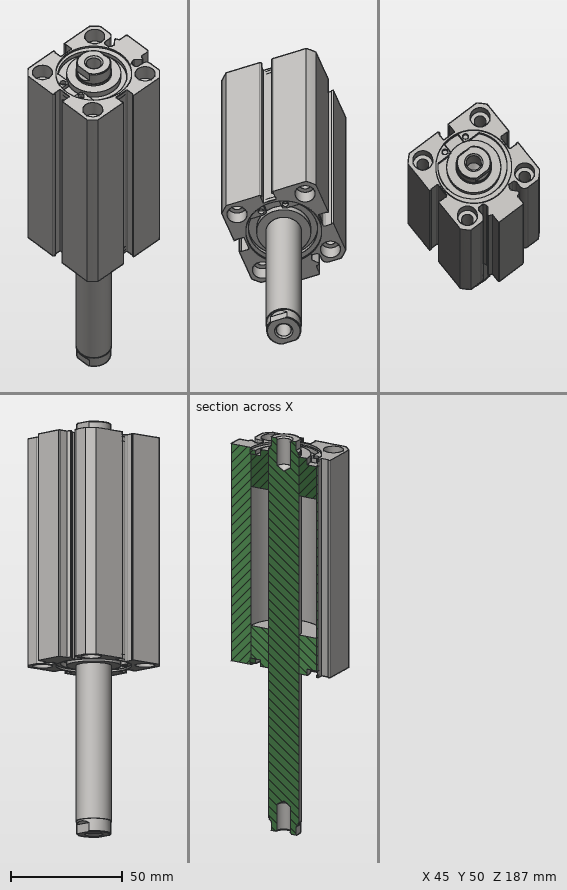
import cadquery as cq
import math

EDGE_TOLERANCE = 0.02

ROD_LENGTH = 187.0

HOUSING_WIDTH = 45.0
HOUSING_HALF_WIDTH = HOUSING_WIDTH / 2
OVERALL_DEPTH = 50.0
HOUSING_LENGTH = 103.2
ROD_STICK_OUT = 7.0
CORNER_TURN_RADIUS = 29.5
HOUSING_TOP = ROD_LENGTH - ROD_STICK_OUT
HOUSING_BOTTOM = HOUSING_TOP - HOUSING_LENGTH
HOUSING_MIDDLE = (HOUSING_TOP + HOUSING_BOTTOM) / 2

CHANNEL_HALF_WIDTH = 10.7
CHANNEL_FLOOR = 16.3
CHANNEL_LIP_RADIUS = 2.6
CHANNEL_FLOOR_RADIUS = 1.3
RAIL_TOP = OVERALL_DEPTH - HOUSING_HALF_WIDTH
RAIL_HALF_WIDTH = 7.1
RAIL_CHAMFER = 0.4
RAIL_BARB_HALF_WIDTH = 8.8
RAIL_SHOULDER = 22.8
RAIL_BARB_TOP = 22.0
RAIL_BARB_BOTTOM = 21.5
RAIL_NECK_HALF_WIDTH = 6.5
RAIL_NECK_TOP = 18.9
RAIL_NECK_BOTTOM = 17.8
RAIL_FOOT_HALF_WIDTH = 7.3

SIDE_SLOT_FLOOR = 17.8
SIDE_SLOT_MOUTH = 6.4
SIDE_SLOT_WIDTH = 7.0
SIDE_SLOT_FLOOR_RADIUS = 0.5
FRONT_SLOT_FLOOR = 18.0
FRONT_SLOT_MOUTH = 4.9
FRONT_SLOT_WIDTH = 6.2
SLOT_LIP = 1.0
FRONT_SLOT_MOUTH_RADIUS = 0.7

MOUNT_OFFSET = 16.3
MOUNT_HOLE_RADIUS = 2.6
MOUNT_BORE_RADIUS = 4.5
MOUNT_BORE_DEPTH = 7.5

BORE_RADIUS = 17.0
GROOVE_RADIUS = 17.5
RING_RECESS = 1.0
RING_THICKNESS = 2.0
RING_INNER_RADIUS = 15.5
RING_INNER_SHIFT = 1.0
RING_GAP = 7.7
EAR_EDGE = 11.2
EAR_INNER_RADIUS = 12.5
EAR_HOLE_RADIUS = 1.3
EAR_HOLE_X = 5.8
EAR_HOLE_Y = -13.5
COLLAR_BOSS_RADIUS = 12.2
COLLAR_LENGTH = 18.7

ROD_RADIUS = 8.0
ROD_END_RADIUS = 7.7
ROD_END_LENGTH = 6.0
ROD_END_CHAMFER = 0.4
FLAT_HALF_WIDTH = 6.5
FLAT_LENGTH = 4.1
ROD_HOLE_RADIUS = 3.4
ROD_HOLE_MOUTH_RADIUS = 4.1
ROD_HOLE_DEPTH = 13.0
DRILL_TIP_ANGLE = 118.0


def at_both_ends(solid):
    """The solid and its mirror image in the housing's middle plane."""
    return [solid, solid.mirror("XY", (0, 0, HOUSING_MIDDLE))]


def cylinder(radius, bottom, top):
    return cq.Workplane("XY").workplane(offset=bottom).circle(radius).extrude(top - bottom)


def housing_prism(points):
    """A full-length prism of the housing with the given corner points."""
    return cq.Workplane("XY", origin=(0, 0, HOUSING_BOTTOM)).polyline(points).close().extrude(HOUSING_LENGTH)


def mirrored_outline(points):
    """A closed outline from its +X half, mirrored to -X."""
    return points + [(-x, y) for x, y in reversed(points)]


def rail():
    return housing_prism(mirrored_outline([
        (RAIL_FOOT_HALF_WIDTH, CHANNEL_FLOOR),
        (RAIL_NECK_HALF_WIDTH, RAIL_NECK_BOTTOM),
        (RAIL_NECK_HALF_WIDTH, RAIL_NECK_TOP),
        (RAIL_BARB_HALF_WIDTH, RAIL_BARB_BOTTOM),
        (RAIL_BARB_HALF_WIDTH, RAIL_BARB_TOP),
        (RAIL_HALF_WIDTH, RAIL_SHOULDER),
        (RAIL_HALF_WIDTH, RAIL_TOP - RAIL_CHAMFER),
        (RAIL_HALF_WIDTH - RAIL_CHAMFER, RAIL_TOP),
    ]))


def slot(mouth, width, floor):
    """A -Y slot with square lips at its mouth."""
    lip_bottom = HOUSING_HALF_WIDTH - SLOT_LIP
    return housing_prism(mirrored_outline([
        (mouth / 2, -HOUSING_HALF_WIDTH),
        (mouth / 2, -lip_bottom),
        (width / 2, -lip_bottom),
        (width / 2, -floor),
    ]))


def round_edges_near(block, x, y, distance, radius):
    """Fillets the vertical edges whose distance from (x, y) is the given one."""
    def at_distance(edge):
        middle = edge.Center()
        return math.isclose(math.hypot(middle.x - x, middle.y - y), distance, abs_tol=EDGE_TOLERANCE)

    return block.newObject([edge for edge in block.edges("|Z").vals() if at_distance(edge)]).fillet(radius)


def mount_hole_cutter(x, y):
    cutter = cylinder(MOUNT_HOLE_RADIUS, HOUSING_BOTTOM, HOUSING_TOP)
    counterbore = cylinder(MOUNT_BORE_RADIUS, HOUSING_TOP - MOUNT_BORE_DEPTH, HOUSING_TOP)
    for end_bore in at_both_ends(counterbore):
        cutter = cutter.union(end_bore)
    return cutter.translate((x, y, 0))


def ring_groove():
    ring_top = HOUSING_TOP - RING_RECESS
    return cylinder(GROOVE_RADIUS, ring_top - RING_THICKNESS, ring_top)


def make_housing():
    block = (
        cq.Workplane("XY", origin=(0, 0, HOUSING_BOTTOM))
        .rect(HOUSING_WIDTH, HOUSING_WIDTH)
        .extrude(HOUSING_LENGTH)
        .intersect(cylinder(CORNER_TURN_RADIUS, HOUSING_BOTTOM, HOUSING_TOP))
    )
    channel = housing_prism(mirrored_outline([
        (CHANNEL_HALF_WIDTH, CHANNEL_FLOOR),
        (CHANNEL_HALF_WIDTH, HOUSING_HALF_WIDTH),
    ])).edges("|Z and <Y").fillet(CHANNEL_FLOOR_RADIUS)
    block = block.cut(channel)
    block = round_edges_near(block, 0, HOUSING_HALF_WIDTH, CHANNEL_HALF_WIDTH, CHANNEL_LIP_RADIUS)
    block = block.union(rail())

    side_slot = slot(SIDE_SLOT_MOUTH, SIDE_SLOT_WIDTH, SIDE_SLOT_FLOOR)
    side_slot = side_slot.edges("|Z and >Y").fillet(SIDE_SLOT_FLOOR_RADIUS)
    for turn in (-90, 90):
        block = block.cut(side_slot.rotate((0, 0, 0), (0, 0, 1), turn))
    block = block.cut(slot(FRONT_SLOT_MOUTH, FRONT_SLOT_WIDTH, FRONT_SLOT_FLOOR))
    block = round_edges_near(block, 0, -HOUSING_HALF_WIDTH, FRONT_SLOT_MOUTH / 2, FRONT_SLOT_MOUTH_RADIUS)

    for x in (-MOUNT_OFFSET, MOUNT_OFFSET):
        for y in (-MOUNT_OFFSET, MOUNT_OFFSET):
            block = block.cut(mount_hole_cutter(x, y))

    block = block.cut(cylinder(BORE_RADIUS, HOUSING_BOTTOM, HOUSING_TOP))
    for groove in at_both_ends(ring_groove()):
        block = block.cut(groove)
    return block


def make_collar():
    """The upper rod guide: a plug in the bore with a boss that passes through the retaining ring."""
    bottom = HOUSING_TOP - COLLAR_LENGTH
    plug = cylinder(BORE_RADIUS, bottom, HOUSING_TOP - RING_RECESS - RING_THICKNESS)
    boss = cylinder(COLLAR_BOSS_RADIUS, bottom, HOUSING_TOP)
    return plug.union(boss).cut(cylinder(ROD_RADIUS, bottom, HOUSING_TOP))


def make_retaining_ring():
    """The upper retaining ring, open on the -Y side between two pierced ears."""
    top = HOUSING_TOP - RING_RECESS
    bottom = top - RING_THICKNESS
    opening = cylinder(RING_INNER_RADIUS, bottom, top).translate((0, -RING_INNER_SHIFT, 0))
    ear_side = (
        cq.Workplane("XY", origin=(0, -EAR_EDGE, bottom))
        .rect(2 * GROOVE_RADIUS, GROOVE_RADIUS, centered=(True, False))
        .extrude(RING_THICKNESS)
        .mirror("XZ", (0, -EAR_EDGE, 0))
    )
    ring = ring_groove().cut(opening.cut(ear_side)).cut(cylinder(EAR_INNER_RADIUS, bottom, top))
    gap = (
        cq.Workplane("XY", origin=(0, -GROOVE_RADIUS / 2, bottom))
        .rect(RING_GAP, GROOVE_RADIUS)
        .extrude(RING_THICKNESS)
    )
    ring = ring.cut(gap)
    for x in (-EAR_HOLE_X, EAR_HOLE_X):
        ring = ring.cut(cylinder(EAR_HOLE_RADIUS, bottom, top).translate((x, EAR_HOLE_Y, 0)))
    return ring


def wrench_flat_cutter():
    """Removes the +Y side of the rod's upper end, with a 45 degree run-out."""
    depth = ROD_RADIUS - FLAT_HALF_WIDTH
    flat_bottom = ROD_LENGTH - FLAT_LENGTH
    return (
        cq.Workplane("YZ")
        .moveTo(FLAT_HALF_WIDTH, ROD_LENGTH)
        .lineTo(FLAT_HALF_WIDTH, flat_bottom)
        .lineTo(ROD_RADIUS, flat_bottom - depth)
        .lineTo(ROD_RADIUS, ROD_LENGTH)
        .close()
        .extrude(ROD_RADIUS, both=True)
    )


def rod_hole():
    """The blind hole in the rod's upper end, with a chamfered mouth and a drill tip."""
    bottom = ROD_LENGTH - ROD_HOLE_DEPTH
    tip_length = ROD_HOLE_RADIUS / math.tan(math.radians(DRILL_TIP_ANGLE / 2))
    return (
        cq.Workplane("XZ")
        .moveTo(0, ROD_LENGTH)
        .lineTo(ROD_HOLE_MOUTH_RADIUS, ROD_LENGTH)
        .lineTo(ROD_HOLE_RADIUS, ROD_LENGTH - (ROD_HOLE_MOUTH_RADIUS - ROD_HOLE_RADIUS))
        .lineTo(ROD_HOLE_RADIUS, bottom)
        .lineTo(0, bottom - tip_length)
        .close()
        .revolve()
    )


def make_rod():
    rod = cylinder(ROD_RADIUS, ROD_END_LENGTH, ROD_LENGTH - ROD_END_LENGTH)
    rod = rod.union(cylinder(ROD_END_RADIUS, 0, ROD_LENGTH).faces("|Z").edges().chamfer(ROD_END_CHAMFER))
    flat = wrench_flat_cutter()
    hole = rod_hole()
    for upper_cutter in (flat, flat.mirror("XZ"), hole):
        lower_cutter = upper_cutter.mirror("XY", (0, 0, ROD_LENGTH / 2))
        rod = rod.cut(upper_cutter).cut(lower_cutter)
    return rod


housing = make_housing()
rod = make_rod()
collars = at_both_ends(make_collar())
retaining_rings = at_both_ends(make_retaining_ring())

result = cq.Compound.makeCompound([
    housing.val(),
    rod.val(),
    *[collar.val() for collar in collars],
    *[ring.val() for ring in retaining_rings],
])